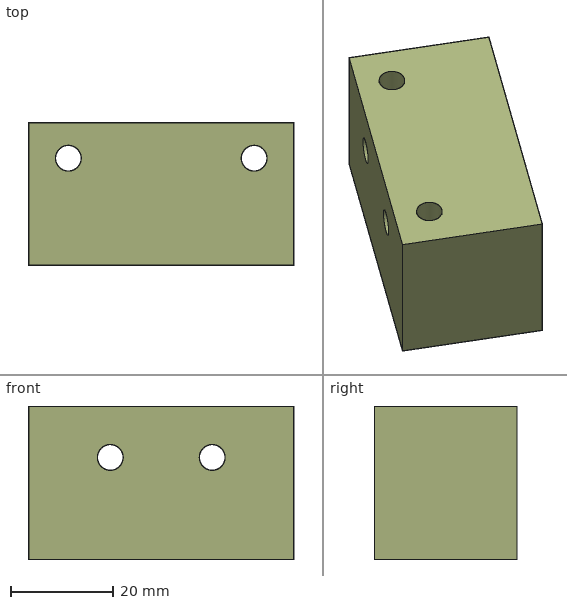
import cadquery as cq

length = 52.0
width = 28.0
height = 30.0

hole_diameter = 5.0
cross_hole_spacing = 19.95
cross_hole_depth_below_top = 10.0
vertical_hole_spacing = 36.4
vertical_hole_inset_from_back = 6.95


def make_block():
    """Plain rectangular block centred on the origin."""
    return cq.Workplane("XY").box(length, width, height)


def drill_pair(block, face, spacing, offset):
    """Drill two through holes, symmetric about X = 0, at an offset from the face centre."""
    half_spacing = spacing / 2
    return (
        block.faces(face)
        .workplane(centerOption="CenterOfBoundBox")
        .pushPoints([(-half_spacing, offset), (half_spacing, offset)])
        .hole(hole_diameter)
    )


cross_hole_z = height / 2 - cross_hole_depth_below_top
vertical_hole_y = width / 2 - vertical_hole_inset_from_back

result = make_block()
result = drill_pair(result, "<Y", cross_hole_spacing, cross_hole_z)
result = drill_pair(result, ">Z", vertical_hole_spacing, vertical_hole_y)